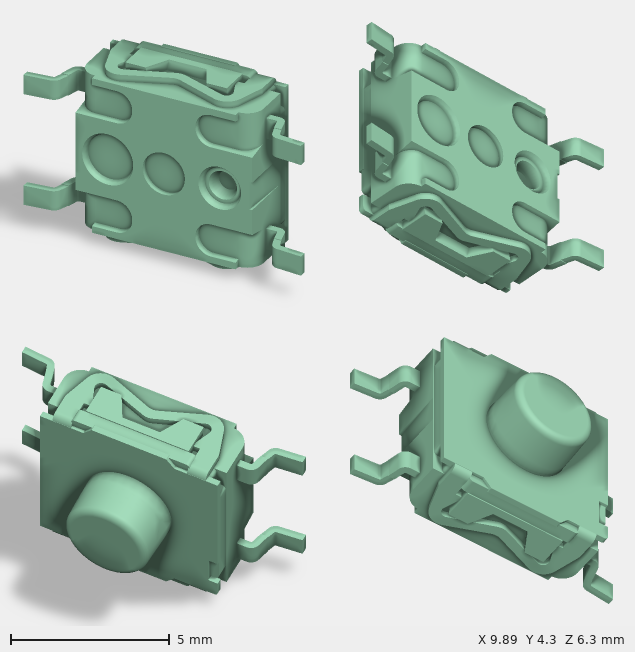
import cadquery as cq
import math

OVERALL_X = 9.89
OVERALL_Y = 4.3
OVERALL_Z = 6.3
BODY_X = 6.3
BODY_Z = 5.58
FRAME_X = 6.23
BODY_TOP = 1.91
FRAME_TOP = 2.29
BLOCK_TOP = 2.39
COVER_TOP = 2.5
PLUNGER_TOP = 4.19
BODY_FACE = BODY_Z / 2

CORNER_RADIUS = 0.59
POCKET_DEPTH = 0.2
POCKET_Z_MIN, POCKET_Z_MAX = 1.39, 2.55
POCKET_END_X = 1.13
POCKET_END_RADIUS = 0.55
POCKET_DRAFT = 11.0
RECESS_X = 2.0
RECESS_DEPTH = 0.21
BLIND_RECESS = (1.82, 1.6)
MARK_DIAMETER = 1.5
STEPPED_RECESS = (1.52, 1.29)
BORE = (1.01, 0.68)
BORE_DEPTH = 0.4
NOTCH_WIDTH, NOTCH_DEPTH = 0.99, 0.1

STEP_Z = 2.1
STEP_RADIUS = 0.15
STEP_SETBACK = 0.32

COVER_X = 6.26
COVER_Z = 5.62
ARM_HALF_WIDTH = 2.7
ARM_ROOT, ARM_FACE = 2.69, 3.03
ARM_BEND_RADIUS = 0.27
BEND_INNER_X = 2.05
TAB_TIP_X, TAB_ROOT_X = 1.32, 1.6
TAB_FACE = 3.13
COVER_CORNER_RADIUS = 0.13
COVER_NOTCH_Z = (-2.21, -1.21)

BLOCK_X = 4.19
BLOCK_FACE = 3.11
BLOCK_RADIUS = 0.16
LATCH_X = 3.62
LATCH_UNDERCUT = 0.07
LATCH_BOTTOM = 0.83
LATCH_FACE = OVERALL_Z / 2
LATCH_LEDGE_OUTER, LATCH_LEDGE_INNER = 1.63, 1.55
LATCH_LEDGE_X, LATCH_MOUTH_X = 0.66, 1.09

LEG_Z = 2.0
LEG_WIDTH, FOOT_WIDTH = 0.74, 0.69
LEG_THICKNESS = 0.25
LEG_ROOT_X = 2.97
LEG_Y = 1.07
LEG_SHOULDER_X = 3.65
LEG_KINK = (3.79, 0.51)
LEG_HEEL_X = 3.93
FOOT_SLOPE = 0.09
FOOT_END_Y = PLUNGER_TOP - OVERALL_Y + LEG_THICKNESS / 2
BEND_OUTER, BEND_INNER = 0.32, 0.07

PLUNGER_BASE_R, PLUNGER_MID_R, PLUNGER_TOP_R = 1.5, 1.48, 1.45
PLUNGER_COLLAR_R, PLUNGER_COLLAR_TOP = 1.51, 2.57
PLUNGER_EDGE = 0.24


def block(x_range, y_range, z_range):
    """Axis-aligned box between the given limits."""
    spans = (x_range, y_range, z_range)
    size = [high - low for low, high in spans]
    return cq.Workplane("XY").box(*size, centered=False).translate([low for low, high in spans])


def prism(points, z_min, z_max):
    """Closed XY polygon extruded between two z levels."""
    return cq.Workplane("XY").workplane(offset=z_min).polyline(points).close().extrude(z_max - z_min)


def prism_x(points, half_width):
    """Closed YZ polygon extruded symmetrically along X."""
    return cq.Workplane("YZ").polyline(points).close().extrude(half_width, both=True)


def plate(size_x, size_z, y_min, y_max):
    """Rectangular plate centred on the Y axis."""
    return block((-size_x / 2, size_x / 2), (y_min, y_max), (-size_z / 2, size_z / 2))


def both_ends(shape):
    """The shape and its mirror image across the z = 0 plane."""
    return shape.union(shape.mirror("XY"))


def four_corners(shape):
    """The shape repeated in all four X/Z quadrants."""
    ends = both_ends(shape)
    return ends.union(ends.mirror("YZ"))


def taper_hole(x, y_min, depth, diameters):
    """Round hole cutter along +Y whose diameter goes from the first to the second value."""
    start, end = (d / 2 for d in diameters)
    points = [(0, y_min), (start, y_min), (end, y_min + depth), (0, y_min + depth)]
    cutter = cq.Workplane("XY").polyline(points).close().revolve(360, (0, 0, 0), (0, 1, 0))
    return cutter.translate((x, 0, 0))


def corner_relief():
    """Cutter that rounds one base corner of the body, bounded by a drafted wall."""
    side = BODY_X / 2
    tangent_x = side - CORNER_RADIUS
    relief_top = POCKET_DEPTH + CORNER_RADIUS
    bow = CORNER_RADIUS * math.sqrt(0.5)
    middle = (tangent_x + bow, relief_top - bow)
    wedge = (
        cq.Workplane("XY")
        .moveTo(tangent_x, 0)
        .lineTo(tangent_x, POCKET_DEPTH)
        .threePointArc(middle, (side, relief_top))
        .lineTo(side, 0)
        .close()
        .extrude(BODY_FACE)
    )
    wall_shift = relief_top * math.tan(math.radians(POCKET_DRAFT))
    wall = [
        (0, POCKET_Z_MIN),
        (relief_top, POCKET_Z_MIN + wall_shift),
        (relief_top, BODY_FACE),
        (0, BODY_FACE),
    ]
    return wedge.intersect(prism_x(wall, side))


def base_pocket():
    """Cutter for one shallow round-ended pocket that opens into a corner relief."""
    pocket_width = POCKET_Z_MAX - POCKET_Z_MIN
    x_outer = BODY_X / 2 - CORNER_RADIUS
    length = 2 * (x_outer - POCKET_END_X)
    pocket = (
        cq.Workplane("XZ", origin=(x_outer, 0, (POCKET_Z_MIN + POCKET_Z_MAX) / 2))
        .sketch()
        .rect(length, pocket_width)
        .vertices()
        .fillet(POCKET_END_RADIUS)
        .finalize()
        .extrude(-POCKET_DEPTH, taper=POCKET_DRAFT)
    )
    return pocket.intersect(block((0, x_outer), (0, POCKET_DEPTH), (0, BODY_FACE)))


def make_body():
    body = plate(BODY_X, BODY_Z, 0, BODY_TOP)
    body = body.cut(four_corners(corner_relief())).cut(four_corners(base_pocket()))
    body = body.cut(taper_hole(-RECESS_X, 0, RECESS_DEPTH, BLIND_RECESS))
    body = body.cut(taper_hole(0, 0, RECESS_DEPTH, (MARK_DIAMETER, MARK_DIAMETER)))
    body = body.cut(taper_hole(RECESS_X, 0, RECESS_DEPTH, STEPPED_RECESS))
    body = body.cut(taper_hole(RECESS_X, RECESS_DEPTH, BORE_DEPTH, BORE))
    side = BODY_X / 2
    half_notch = NOTCH_WIDTH / 2
    notch = prism([(side - NOTCH_DEPTH, 0), (side, 0), (side, BODY_TOP)], -half_notch, half_notch)
    return body.cut(notch)


def make_frame():
    """Plate between body and cover, with a rounded step at each corner."""
    side = FRAME_X / 2
    frame = plate(FRAME_X, BODY_Z, BODY_TOP, FRAME_TOP)
    step = block((side - STEP_SETBACK, side), (BODY_TOP, FRAME_TOP), (STEP_Z, BODY_FACE))
    frame = frame.cut(four_corners(step))
    return frame.edges("|Y").fillet(STEP_RADIUS)


def arm_outline():
    """Arm contour with rounded feet and peak; its inner side is sunk into the body."""
    foot = (2.23, 0.03)
    shoulder_y = 1.55
    peak_y = 0.87
    half = [(ARM_HALF_WIDTH, COVER_TOP), (ARM_HALF_WIDTH, shoulder_y), foot]
    points = half + [(0, peak_y)] + [(-x, y) for x, y in reversed(half)]
    arm = prism(points, ARM_ROOT, ARM_FACE)
    for x, y, radius in ((foot[0], foot[1], 0.57), (-foot[0], foot[1], 0.57), (0, peak_y, 0.49)):
        arm = arm.edges(cq.NearestToPointSelector((x, y, (ARM_ROOT + ARM_FACE) / 2))).fillet(radius)
    return arm.faces(">Y").edges(">Z").fillet(ARM_BEND_RADIUS)


def arm_window():
    """Cutter for the opening in the arm around the latch."""
    toe = (2.21, 0.44)
    peak_y = 1.23
    half = [(2.05, BODY_TOP), (2.05, 1.57), (1.82, 1.57), (1.82, 1.39), toe]
    points = half + [(0, peak_y)] + [(-x, y) for x, y in reversed(half)]
    window = prism(points, BODY_FACE, ARM_FACE)
    for x, y, radius in ((toe[0], toe[1], 0.22), (-toe[0], toe[1], 0.22), (0, peak_y, 0.49)):
        window = window.edges(cq.NearestToPointSelector((x, y, (BODY_FACE + ARM_FACE) / 2))).fillet(radius)
    return window


def make_arm():
    bend_gap = block((-BEND_INNER_X, BEND_INNER_X), (FRAME_TOP, COVER_TOP), (BODY_FACE, ARM_FACE))
    return arm_outline().cut(arm_window()).cut(bend_gap)


def edge_tab():
    """Short trapezoidal tab at the middle of the cover edge."""
    half_cover = COVER_Z / 2
    points = [
        (-TAB_ROOT_X, half_cover),
        (-TAB_TIP_X, TAB_FACE),
        (TAB_TIP_X, TAB_FACE),
        (TAB_ROOT_X, half_cover),
        (TAB_ROOT_X, 0),
        (-TAB_ROOT_X, 0),
    ]
    plane = cq.Workplane("XZ", origin=(0, FRAME_TOP, 0))
    return plane.polyline(points).close().extrude(FRAME_TOP - COVER_TOP)


def make_cover():
    cover = plate(COVER_X, COVER_Z, FRAME_TOP, COVER_TOP)
    cover = cover.edges("|Y and <X and <Z").fillet(COVER_CORNER_RADIUS)
    cover_side = COVER_X / 2
    notch_floor = STEP_SETBACK - FRAME_X / 2
    cover = cover.cut(block((-cover_side, notch_floor), (FRAME_TOP, COVER_TOP), COVER_NOTCH_Z))
    notch_fill = block((-FRAME_X / 2, notch_floor), (FRAME_TOP, BLOCK_TOP), (-STEP_Z, COVER_NOTCH_Z[1]))
    notch_fill = notch_fill.edges("|Y and <X and <Z").fillet(STEP_RADIUS)
    return cover.union(notch_fill).union(both_ends(make_arm().union(edge_tab())))


def make_side_block():
    """Raised block above the latch, lying across the root of the arm."""
    half = BLOCK_X / 2
    side_block = block((-half, half), (BODY_TOP, BLOCK_TOP), (0, BLOCK_FACE))
    side_block = side_block.edges("|Y and >Z").fillet(BLOCK_RADIUS)
    tab_seat = block((-TAB_TIP_X, TAB_TIP_X), (FRAME_TOP, BLOCK_TOP), (0, BLOCK_FACE))
    return side_block.cut(tab_seat)


def make_latch():
    """Undercut hook in the arm window, with a trapezoidal recess under a sloped ledge."""
    half = LATCH_X / 2
    profile = [
        (LATCH_BOTTOM, LATCH_FACE),
        (LATCH_BOTTOM + LATCH_UNDERCUT, BODY_FACE),
        (BODY_TOP, BODY_FACE),
        (BODY_TOP, LATCH_FACE),
    ]
    latch = prism_x(profile, half)
    recess = prism(
        [
            (-LATCH_MOUTH_X, LATCH_BOTTOM),
            (-LATCH_LEDGE_X, LATCH_LEDGE_OUTER),
            (LATCH_LEDGE_X, LATCH_LEDGE_OUTER),
            (LATCH_MOUTH_X, LATCH_BOTTOM),
        ],
        BODY_FACE,
        LATCH_FACE,
    )
    ledge = [
        (LATCH_BOTTOM, BODY_FACE),
        (LATCH_LEDGE_INNER, BODY_FACE),
        (LATCH_LEDGE_OUTER, LATCH_FACE),
        (LATCH_BOTTOM, LATCH_FACE),
    ]
    return latch.cut(recess.intersect(prism_x(ledge, half)))


def offset_path(path, distance):
    """Polyline parallel to the path, mitred at its corners."""
    headings = [math.atan2(b[1] - a[1], b[0] - a[0]) for a, b in zip(path, path[1:])]
    shifted = []
    for i, (x, y) in enumerate(path):
        before = headings[max(i - 1, 0)]
        after = headings[min(i, len(headings) - 1)]
        normal = (before + after) / 2 + math.pi / 2
        reach = distance / math.cos((after - before) / 2)
        shifted.append((x + reach * math.cos(normal), y + reach * math.sin(normal)))
    return shifted


def leg_strip(width):
    """Bent terminal strip of one constant width, with rounded shoulder and heel."""
    end_x = OVERALL_X / 2
    tip_x = end_x + LEG_THICKNESS
    path = [
        (LEG_ROOT_X, LEG_Y),
        (LEG_SHOULDER_X, LEG_Y),
        LEG_KINK,
        (LEG_HEEL_X, FOOT_END_Y + FOOT_SLOPE * (end_x - LEG_HEEL_X)),
        (tip_x, FOOT_END_Y + FOOT_SLOPE * (end_x - tip_x)),
    ]
    upper = offset_path(path, LEG_THICKNESS / 2)
    lower = offset_path(path, -LEG_THICKNESS / 2)
    strip = prism(upper + lower[::-1], LEG_Z - width / 2, LEG_Z + width / 2)
    bends = (
        (upper[1], BEND_OUTER),
        (lower[1], BEND_INNER),
        (upper[3], BEND_INNER),
        (lower[3], BEND_OUTER),
    )
    for (x, y), radius in bends:
        strip = strip.edges(cq.NearestToPointSelector((x, y, LEG_Z))).fillet(radius)
    limits = block((0, end_x), (-LEG_Y, BODY_TOP), (0, BODY_FACE))
    return strip.intersect(limits)


def make_leg():
    """Terminal whose root is wider than its foot; the width changes at the kink."""
    root_zone = block((0, OVERALL_X / 2), (LEG_KINK[1], BODY_TOP), (0, BODY_FACE))
    return leg_strip(FOOT_WIDTH).union(leg_strip(LEG_WIDTH).intersect(root_zone))


def make_plunger():
    edge_y = PLUNGER_TOP - PLUNGER_EDGE
    bow = PLUNGER_EDGE * (1 - math.sqrt(0.5))
    return (
        cq.Workplane("XY")
        .moveTo(0, FRAME_TOP)
        .lineTo(PLUNGER_COLLAR_R, FRAME_TOP)
        .lineTo(PLUNGER_COLLAR_R, COVER_TOP)
        .lineTo(PLUNGER_BASE_R, PLUNGER_COLLAR_TOP)
        .threePointArc((PLUNGER_MID_R, (PLUNGER_COLLAR_TOP + edge_y) / 2), (PLUNGER_TOP_R, edge_y))
        .threePointArc((PLUNGER_TOP_R - bow, PLUNGER_TOP - bow), (PLUNGER_TOP_R - PLUNGER_EDGE, PLUNGER_TOP))
        .lineTo(0, PLUNGER_TOP)
        .close()
        .revolve(360, (0, 0, 0), (0, 1, 0))
    )


result = (
    make_body()
    .union(make_frame())
    .union(make_cover())
    .union(both_ends(make_side_block()))
    .union(both_ends(make_latch()))
    .union(four_corners(make_leg()))
    .union(make_plunger())
)